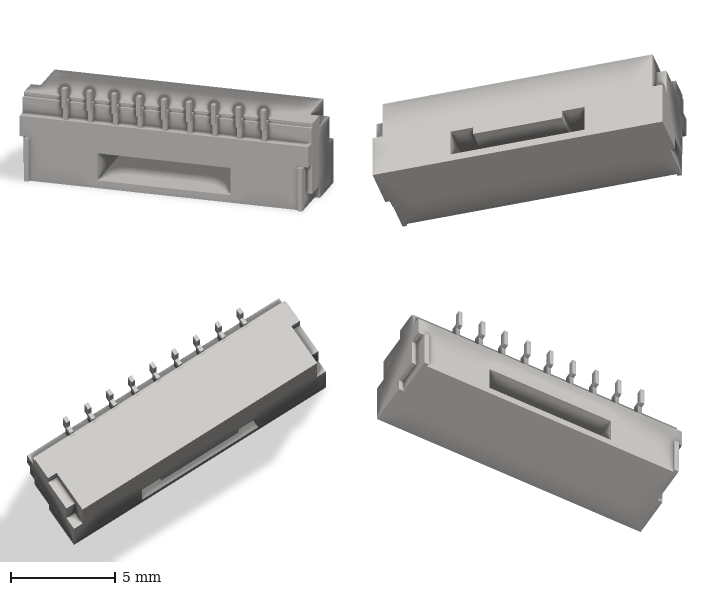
import cadquery as cq

length = 14.5
depth = 4.2
height = 4.95
housing_height = 4.25
clip_proud = 0.15

front_y = -depth / 2
rear_y = depth / 2
housing_front_y = front_y + clip_proud
side_x = length / 2

ledge_height = 3.28
ledge_depth = 0.5
groove_width = 0.17
groove_depth = 0.19
step_y = housing_front_y + ledge_depth

rear_recess_width = 0.5
rear_recess_reach = 2.25
rear_recess_drop = 1.97
rear_recess_top_thickness = 0.61
rear_recess_rear_thickness = 0.65

clip_thickness = 0.23
clip_inset = 0.26
clip_height = 2.19
clip_leg_depth = 0.78
clip_foot_reach = 2.05
clip_foot_height = 0.65
clip_clearance = 0.05

window_width = 6.7
window_bottom = 0.39
window_top = 1.78
key_width = 4.44
key_drop = 0.39
key_depth = depth / 2

pin_count = 9
pin_pitch = 1.25
pin_width = 0.2
pin_base_depth = 0.39
pin_tip_thickness = 0.3
pin_tip_bottom = 3.95


def box(x_range, y_range, z_range):
    """Box spanning the given (low, high) pairs."""
    size = [high - low for low, high in (x_range, y_range, z_range)]
    corner = (x_range[0], y_range[0], z_range[0])
    return cq.Workplane("XY").box(*size, centered=False).translate(corner)


def side_plate(outline, x_start, thickness):
    """Extrude a (Y, Z) outline along +X from x_start."""
    return cq.Workplane("YZ", origin=(x_start, 0, 0)).polyline(outline).close().extrude(thickness)


def at_both_ends(plate):
    return plate.union(plate.mirror("YZ"))


def make_housing():
    groove_y = step_y + groove_width
    groove_floor = housing_height - groove_depth
    profile = [
        (housing_front_y, 0),
        (rear_y, 0),
        (rear_y, housing_height),
        (groove_y, housing_height),
        (groove_y, groove_floor),
        (step_y, groove_floor),
        (step_y, ledge_height),
        (housing_front_y, ledge_height),
    ]
    return side_plate(profile, -side_x, length)


def make_rear_recesses():
    inner_y = rear_y - rear_recess_rear_thickness
    reach_y = rear_y - rear_recess_reach
    bottom = housing_height - rear_recess_drop
    inner_z = housing_height - rear_recess_top_thickness
    outline = [
        (rear_y, bottom),
        (rear_y, housing_height),
        (reach_y, housing_height),
        (reach_y, inner_z),
        (inner_y, inner_z),
        (inner_y, bottom),
    ]
    return at_both_ends(side_plate(outline, -side_x, rear_recess_width))


def clip_outline(top):
    leg_y = front_y + clip_leg_depth
    foot_y = front_y + clip_foot_reach
    return [
        (front_y, 0),
        (foot_y, 0),
        (foot_y, clip_foot_height),
        (leg_y, clip_foot_height),
        (leg_y, top),
        (front_y, top),
    ]


def make_clip_slots():
    outline = clip_outline(clip_height + clip_clearance)
    return at_both_ends(side_plate(outline, -side_x, clip_inset + clip_thickness))


def make_clips():
    return at_both_ends(side_plate(clip_outline(clip_height), -side_x + clip_inset, clip_thickness))


def make_window():
    half_width = window_width / 2
    return box((-half_width, half_width), (front_y, rear_y), (window_bottom, window_top))


def make_key():
    half_width = key_width / 2
    return box((-half_width, half_width), (rear_y - key_depth, rear_y), (window_top - key_drop, window_top))


def make_pin(x):
    tip_y = front_y + pin_tip_thickness
    base_front_y = step_y - pin_base_depth
    profile = [
        (step_y, ledge_height),
        (step_y, housing_height),
        (tip_y, housing_height),
        (tip_y, height),
        (front_y, height),
        (front_y, pin_tip_bottom),
        (base_front_y, pin_tip_bottom),
        (base_front_y, ledge_height),
    ]
    return side_plate(profile, x - pin_width / 2, pin_width)


result = make_housing().cut(make_rear_recesses()).cut(make_clip_slots()).cut(make_window())
result = result.union(make_clips()).union(make_key())
for index in range(pin_count):
    result = result.union(make_pin((index - (pin_count - 1) / 2) * pin_pitch))